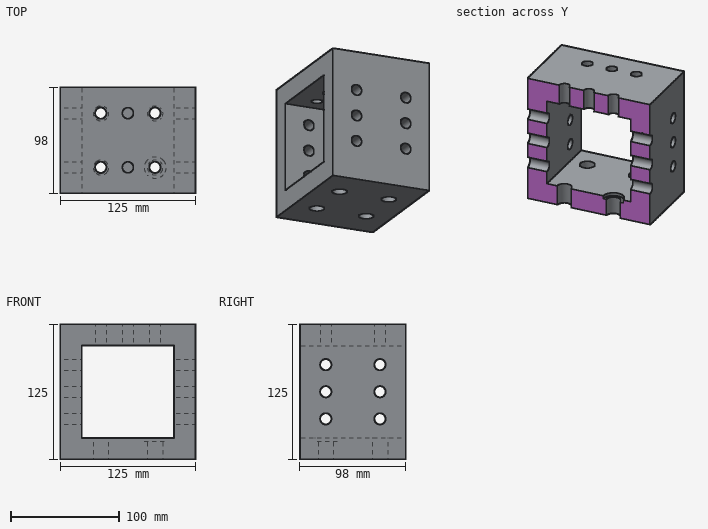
import cadquery as cq

width = 125.0
depth = 98.0
height = 125.0

wall = 20.0
window_width = width - 2 * wall
window_height = height - 2 * wall

hole_diameter = 10.2
column_pitch = 25.0
row_pitch = 50.0

bottom_hole_diameter = 14.0
counterbore_diameter = 20.0
counterbore_depth = 3.0

floor_z = wall - height / 2
ceiling_z = height / 2 - wall


def make_frame():
    """Rectangular frame open along Y."""
    block = cq.Workplane("XY").box(width, depth, height)
    window = cq.Workplane("XY").box(window_width, depth, window_height)
    return block.cut(window)


def top_holes():
    """Three by two plain holes through the top wall."""
    return (
        cq.Workplane("XY", origin=(0, 0, ceiling_z))
        .rarray(column_pitch, row_pitch, 3, 2)
        .circle(hole_diameter / 2)
        .extrude(wall)
    )


def side_holes():
    """Two by three plain holes through both side walls."""
    return (
        cq.Workplane("YZ", origin=(-width / 2, 0, 0))
        .rarray(row_pitch, column_pitch, 2, 3)
        .circle(hole_diameter / 2)
        .extrude(width)
    )


def bottom_holes():
    """Four plain holes through the bottom wall, below the outer top holes."""
    return (
        cq.Workplane("XY", origin=(0, 0, floor_z))
        .rarray(2 * column_pitch, row_pitch, 2, 2)
        .circle(bottom_hole_diameter / 2)
        .extrude(-wall)
    )


def counterbore():
    """Shallow recess in the window floor around the +X, -Y bottom hole."""
    return (
        cq.Workplane("XY", origin=(column_pitch, -row_pitch / 2, floor_z))
        .circle(counterbore_diameter / 2)
        .extrude(-counterbore_depth)
    )


result = (
    make_frame()
    .cut(top_holes())
    .cut(side_holes())
    .cut(bottom_holes())
    .cut(counterbore())
)